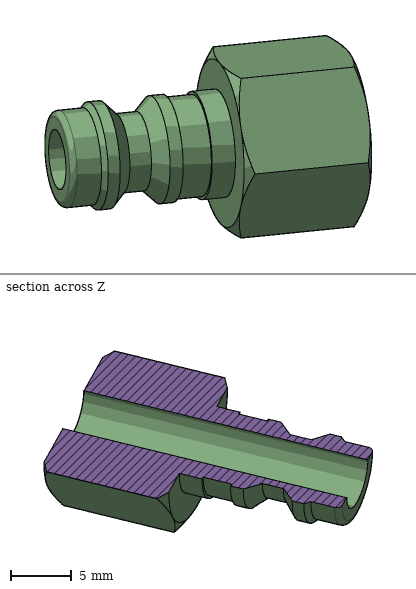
import cadquery as cq
import math

total_length = 25.0
hex_across_flats = 14.0
hex_length = 11.0
bore_diameter = 5.0
hex_chamfer_angle = 30.0

land_radius = 4.5
relief_radius = 4.25
neck_radius = 3.3
tip_radius = 4.05
tip_fillet = 0.5

tip_end = 2.6
front_land_start = 3.05
front_land_end = 4.08
neck_start = 5.28
neck_end = 7.12
rear_land_start = 8.38
relief_start = 9.5
relief_end = 12.0
hex_start = total_length - hex_length

hex_flat_radius = hex_across_flats / 2
hex_corner_radius = hex_flat_radius / math.cos(math.pi / 6)
hex_chamfer_depth = (hex_corner_radius - hex_flat_radius) * math.tan(math.radians(hex_chamfer_angle))


def revolve_about_y(profile):
    """Revolve a closed (radius, Y) profile a full turn about the Y axis."""
    return cq.Workplane("XY").polyline(profile).close().revolve(360, (0, 0, 0), (0, 1, 0))


def make_hex_body():
    """Hexagon with corners on X, conically chamfered at both ends."""
    prism = (
        cq.Workplane("XZ", origin=(0, total_length, 0))
        .polygon(6, 2 * hex_corner_radius)
        .extrude(hex_length)
    )
    chamfer_envelope = revolve_about_y([
        (0, hex_start),
        (hex_flat_radius, hex_start),
        (hex_corner_radius, hex_start + hex_chamfer_depth),
        (hex_corner_radius, total_length - hex_chamfer_depth),
        (hex_flat_radius, total_length),
        (0, total_length),
    ])
    return prism.intersect(chamfer_envelope)


def make_plug():
    """Stepped plug with a locking neck and a rounded tip."""
    plug = revolve_about_y([
        (0, 0),
        (tip_radius, 0),
        (tip_radius, tip_end),
        (land_radius, front_land_start),
        (land_radius, front_land_end),
        (neck_radius, neck_start),
        (neck_radius, neck_end),
        (land_radius, rear_land_start),
        (land_radius, relief_start),
        (relief_radius, relief_start),
        (relief_radius, relief_end),
        (land_radius, relief_end),
        (land_radius, hex_start),
        (0, hex_start),
    ])
    return plug.faces("<Y").edges().fillet(tip_fillet)


bore = cq.Workplane("XZ", origin=(0, total_length, 0)).circle(bore_diameter / 2).extrude(total_length)

result = make_hex_body().union(make_plug()).cut(bore)